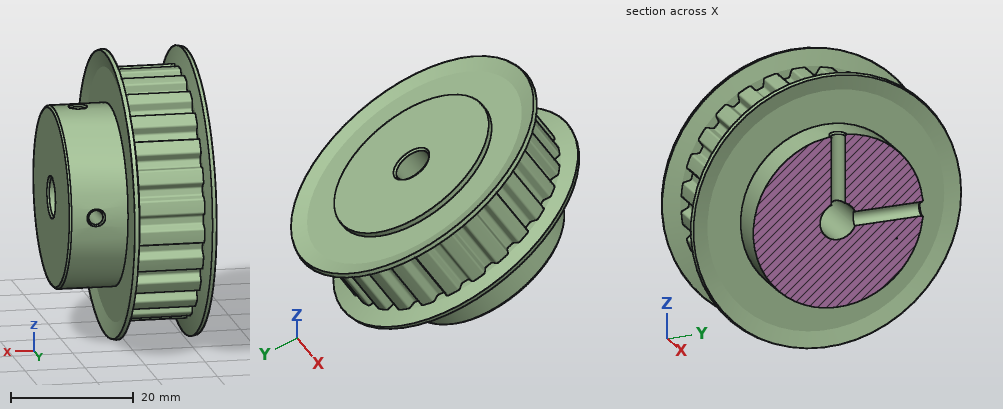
import cadquery as cq
import math


total_length = 23.0
bore_diameter = 6.35
bore_chamfer = 0.35
hub_radius = 15.05
hub_chamfer = 0.35

tooth_count = 26
tooth_tip_radius = 20.75
groove_depth = 1.4
groove_floor_width = 1.35
groove_flank_angle = 25
groove_root_fillet = 0.41
groove_tip_fillet = 0.39

rim_start = 1.65
rim_width = 10.85
flange_radius = 23.8
flange_bend_radius = 20.9
flange_thickness = 0.75
flange_dish = 0.65

screw_hole_diameter = 2.4
screw_countersink_diameter = 3.05
screw_from_hub_end = 4.45

rim_end = rim_start + rim_width
screw_x = total_length - screw_from_hub_end


def disc(radius, start, length):
    """Solid cylinder along the X axis."""
    return cq.Workplane("YZ", origin=(start, 0, 0)).circle(radius).extrude(length)


def flange(inner_face, outward):
    """Sheet flange with a conical lip; outward is the X direction away from the belt."""
    lip_height = flange_radius - flange_bend_radius
    lip_angle = math.atan2(flange_dish, lip_height)
    outer_face = inner_face + outward * flange_thickness
    lip_tip_x = inner_face + outward * flange_dish
    edge_x = lip_tip_x + outward * flange_thickness * math.cos(lip_angle)
    edge_radius = flange_radius - flange_thickness * math.sin(lip_angle)
    profile = (
        cq.Workplane("XY")
        .moveTo(inner_face, 0)
        .lineTo(inner_face, flange_bend_radius)
        .lineTo(lip_tip_x, flange_radius)
        .lineTo(edge_x, edge_radius)
        .lineTo(outer_face, flange_bend_radius)
        .lineTo(outer_face, 0)
        .close()
    )
    return profile.revolve(360, (0, 0, 0), (1, 0, 0))


def toothed_rim():
    """Rim disc with trapezoidal belt grooves, the first one centred on +Y."""
    floor_radius = tooth_tip_radius - groove_depth
    floor_half = groove_floor_width / 2
    flank_slope = math.tan(math.radians(groove_flank_angle))
    mouth_radius = tooth_tip_radius + groove_depth
    mouth_half = floor_half + (mouth_radius - floor_radius) * flank_slope
    groove = (
        cq.Workplane("YZ", origin=(rim_start, 0, 0))
        .polyline([
            (floor_radius, -floor_half),
            (mouth_radius, -mouth_half),
            (mouth_radius, mouth_half),
            (floor_radius, floor_half),
        ])
        .close()
        .extrude(rim_width)
        .edges("|X and <Y")
        .fillet(groove_root_fillet)
    )
    rim = disc(tooth_tip_radius, rim_start, rim_width)
    for index in range(tooth_count):
        angle = 360 * index / tooth_count
        rim = rim.cut(groove.rotate((0, 0, 0), (1, 0, 0), angle))
    mid_radius = (floor_radius + tooth_tip_radius) / 2
    crown_edges = rim.edges("|X").filter(
        lambda edge: math.hypot(edge.Center().y, edge.Center().z) > mid_radius
    )
    return rim.newObject(crown_edges.vals()).fillet(groove_tip_fillet)


def hub():
    """Full-length hub with a chamfered free end."""
    return disc(hub_radius, 0, total_length).faces(">X").chamfer(hub_chamfer)


def bore():
    """Through bore with a chamfer at both ends."""
    radius = bore_diameter / 2
    mouth_radius = radius + bore_chamfer
    profile = (
        cq.Workplane("XY")
        .polyline([
            (0, 0),
            (0, mouth_radius),
            (bore_chamfer, radius),
            (total_length - bore_chamfer, radius),
            (total_length, mouth_radius),
            (total_length, 0),
        ])
        .close()
    )
    return profile.revolve(360, (0, 0, 0), (1, 0, 0))


def screw_hole():
    """Radial set-screw hole along +Z from the bore, countersunk at the hub surface."""
    radius = screw_hole_diameter / 2
    mouth_radius = screw_countersink_diameter / 2
    countersink_depth = mouth_radius - radius
    profile = (
        cq.Workplane("XZ")
        .polyline([
            (0, 0),
            (radius, 0),
            (radius, hub_radius - countersink_depth),
            (mouth_radius, hub_radius),
            (0, hub_radius),
        ])
        .close()
    )
    return profile.revolve(360, (0, 0, 0), (0, 1, 0)).translate((screw_x, 0, 0))


result = toothed_rim().union(flange(rim_start, -1)).union(flange(rim_end, 1)).union(hub())
result = result.cut(bore())

for turn in (0, -90):
    result = result.cut(screw_hole().rotate((0, 0, 0), (1, 0, 0), turn))